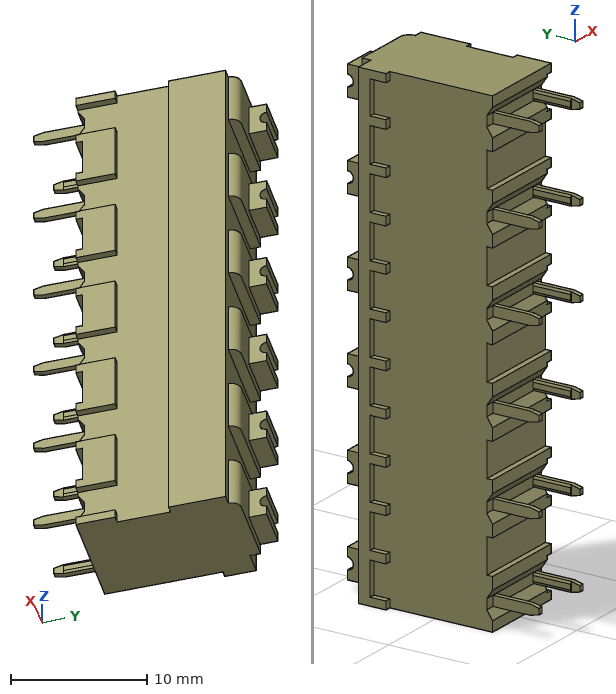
import cadquery as cq

poles = 6
pitch = 7.6
height = 42.3
first_pole_z = (height - (poles - 1) * pitch) / 2
pole_centres = [first_pole_z + i * pitch for i in range(poles)]
gap_centres = [z + pitch / 2 for z in pole_centres[:-1]]

width = 8.4
body_left = 0.5
body_top = 11.4
rib_bottom = 9.0
window_top = 10.4
window_height = 3.05
end_wall = 0.7
side_groove_floor = 7.85
side_groove_bottom = 3.0
side_groove_top = 7.05

pin_length = 3.55
pin_left = 1.3
pin_thickness = 0.5
pin_height = 0.9
pin_edge_x = 0.1
pin_edge_z = 0.2
pin_taper_length = 0.75
pin_tip_height = 0.5
pin_mirror_x = 4.27

foot_depth = 0.5
trough_mouth = 2.4
trough_floor = pin_height

head_left = 1.7
head_right = 7.65
head_top = 12.22
head_height = 2 * first_pole_z
head_radius = 0.75

actuator_left = 1.8
actuator_right = 4.9
actuator_top = 13.58
actuator_height = 2.62
actuator_groove_radius = 0.5


def block(x0, x1, y0, y1, z_centre, z_size):
    """Box between two X and two Y limits, centred on a Z position."""
    return (
        cq.Workplane("XY", origin=(0, 0, z_centre - z_size / 2))
        .moveTo(x0, y0)
        .lineTo(x1, y0)
        .lineTo(x1, y1)
        .lineTo(x0, y1)
        .close()
        .extrude(z_size)
    )


def make_housing():
    """Body with the collar along -X and the long groove along +X."""
    mid_z = height / 2
    body = block(body_left, width, 0, body_top, mid_z, height)
    collar = block(0, body_left, rib_bottom, body_top, mid_z, height)
    groove = block(side_groove_floor, width, side_groove_bottom, side_groove_top, mid_z, height)
    return body.union(collar).cut(groove)


def keep_end_walls(cutter):
    """Trim a cutter so that the full end walls at both Z ends remain."""
    clear_zone = block(0, width, 0, body_top, height / 2, height - 2 * end_wall)
    return cutter.intersect(clear_zone)


def make_collar_window(z):
    """Opening that leaves ribs hanging from the collar."""
    return keep_end_walls(block(0, body_left, rib_bottom, window_top, z, window_height))


def make_foot_recess(z):
    """Rectangular recess across the foot between two poles."""
    return block(0, width, 0, foot_depth, z, window_height)


def make_foot_trough(z):
    """Trough with sloped sides across the foot of a pole."""
    return (
        cq.Workplane("YZ", origin=(0, 0, z))
        .moveTo(0, -trough_mouth / 2)
        .lineTo(foot_depth, -trough_floor / 2)
        .lineTo(foot_depth, trough_floor / 2)
        .lineTo(0, trough_mouth / 2)
        .close()
        .extrude(width)
    )


def make_side_pocket(z):
    """Pocket on +X from the foot up to the long groove."""
    pocket = block(side_groove_floor, width, 0, side_groove_bottom, z, window_height)
    return keep_end_walls(pocket)


def make_head(z):
    """Raised head with a rounded +X corner, slotted for the actuator."""
    head = block(head_left, head_right, body_top, head_top, z, head_height)
    head = head.edges(">X and >Y").fillet(head_radius)
    slot = block(head_left, actuator_right, body_top, head_top, z, actuator_height)
    return head.cut(slot)


def make_actuator(z):
    """Block with a half-round groove along X in its end."""
    actuator = block(actuator_left, actuator_right, body_top, actuator_top, z, actuator_height)
    groove = (
        cq.Workplane("YZ", origin=(actuator_left, actuator_top, z))
        .circle(actuator_groove_radius)
        .extrude(actuator_right - actuator_left)
    )
    return actuator.cut(groove)


def make_left_pin(z):
    """Pin with bevelled inner edges and a tip tapered in height and thickness."""
    pin_right = pin_left + pin_thickness
    bevel_start = pin_right - pin_edge_x
    half = pin_height / 2
    ridge_half = half - pin_edge_z
    taper_start = pin_taper_length - pin_length
    section = (
        cq.Workplane("XZ", origin=(0, foot_depth, z))
        .moveTo(pin_left, -half)
        .lineTo(bevel_start, -half)
        .lineTo(pin_right, -ridge_half)
        .lineTo(pin_right, ridge_half)
        .lineTo(bevel_start, half)
        .lineTo(pin_left, half)
        .close()
        .extrude(foot_depth + pin_length)
    )
    side_profile = (
        cq.Workplane("YZ", origin=(pin_left, 0, z))
        .moveTo(foot_depth, -half)
        .lineTo(foot_depth, half)
        .lineTo(taper_start, half)
        .lineTo(-pin_length, pin_tip_height / 2)
        .lineTo(-pin_length, -pin_tip_height / 2)
        .lineTo(taper_start, -half)
        .close()
        .extrude(pin_thickness)
    )
    tip_relief = block(bevel_start, pin_right, -pin_length, taper_start, z, pin_height)
    return section.intersect(side_profile).cut(tip_relief)


def make_pins(z):
    """Pair of pins facing each other across the pole."""
    left = make_left_pin(z)
    right = left.mirror("YZ", (pin_mirror_x, 0, 0))
    return left.union(right)


result = make_housing()

for z in pole_centres + gap_centres:
    result = result.cut(make_collar_window(z))

for z in gap_centres:
    result = result.cut(make_foot_recess(z))

for z in pole_centres:
    result = result.cut(make_foot_trough(z)).cut(make_side_pocket(z))
    result = result.union(make_head(z)).union(make_actuator(z)).union(make_pins(z))